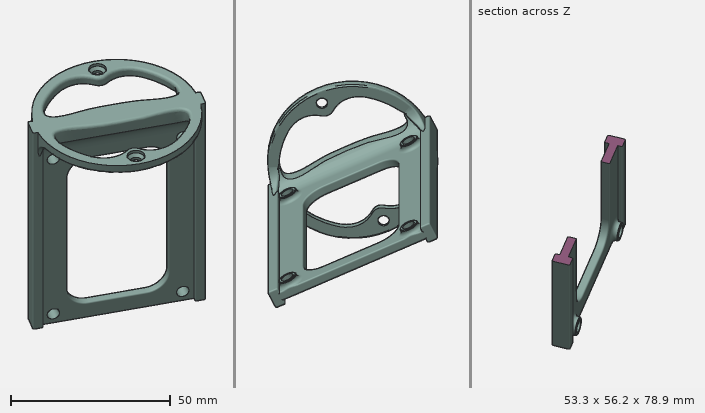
import cadquery as cq
import math

cap_radius = 53.26 / 2
cap_thickness = 3.0
cap_edge_round = 0.5

frame_height = 78.9
frame_width = 56.16
web_thickness = 3.0
rail_depth = 6.0
rail_width = 3.5
rail_round = 0.6
edge_round = 0.5

gusset_radius = 7.6
gusset_foot_z = -cap_thickness - gusset_radius

rail_flare_radius = 6.6
rail_flare_mid = (24.0, -5.6)
rail_flare_top_y = 21.9
rail_flare_foot_z = -cap_thickness - rail_flare_radius
rail_flare_reach = rail_depth / 2 + rail_flare_radius

window_width = 33.0
window_height = 58.0
window_corner_radius = 7.0
window_center_z = -44.05

boss_spacing_y = 42.0
boss_spacing_z = 62.0
boss_diameter = 6.0
boss_rim_diameter = 5.5
boss_hole_diameter = 4.0
boss_face_x = -3.6
boss_foot_radius = 1.4

screw_offset = 22.5
screw_hole_diameter = 3.5
countersink_diameter = 5.5
countersink_wall_depth = 1.0

opening_edge_round = 1.0
lug_tip = (17.87, 0)
bridge_middle = (4.9, 0)
opening_points = [
    lug_tip,
    (18.87, 2.4),
    (20.2, 5.2),
    (20.45, 8.3),
    (19.5, 11.6),
    (17.2, 14.9),
    (13.6, 18.3),
    (9.7, 20.8),
    (6.9, 21.6),
    (4.9, 21.3),
    (4.0, 20.0),
    (3.65, 18.2),
    (4.1, 12.0),
    bridge_middle,
]

margin = 5.0

pick_gap = 0.1

boss_centers = [
    (side * boss_spacing_y / 2, window_center_z + level * boss_spacing_z / 2)
    for side in (-1, 1)
    for level in (-1, 1)
]


def flared_section(half_width, flare_radius, bottom_z):
    """T-shaped XZ section: cap above, upright below, joined by concave quarter arcs."""
    foot_z = -cap_thickness - flare_radius
    reach = half_width + flare_radius
    arc_drop = flare_radius * math.sqrt(0.5)
    arc_mid_x = reach - arc_drop
    arc_mid_z = foot_z + arc_drop
    return (
        cq.Workplane("XZ")
        .moveTo(-cap_radius, 0)
        .lineTo(cap_radius, 0)
        .lineTo(cap_radius, -cap_thickness)
        .lineTo(reach, -cap_thickness)
        .threePointArc((arc_mid_x, arc_mid_z), (half_width, foot_z))
        .lineTo(half_width, bottom_z)
        .lineTo(-half_width, bottom_z)
        .lineTo(-half_width, foot_z)
        .threePointArc((-arc_mid_x, arc_mid_z), (-reach, -cap_thickness))
        .lineTo(-cap_radius, -cap_thickness)
        .close()
    )


def make_cap_and_web():
    """Web stock flaring into the cap through concave gussets, before trimming."""
    section = flared_section(web_thickness / 2, gusset_radius, -frame_height - margin)
    return section.extrude(frame_width / 2, both=True)


def make_rail_flares():
    """Concave flares from the rail faces to the cap, widening inwards as they rise."""
    foot_y = frame_width / 2 - rail_width + rail_round
    section = flared_section(rail_depth / 2, rail_flare_radius, rail_flare_foot_z - margin)
    flares = section.extrude(frame_width / 2, both=True)
    side_outline = (
        cq.Workplane("YZ")
        .moveTo(foot_y, rail_flare_foot_z)
        .threePointArc(rail_flare_mid, (rail_flare_top_y, -cap_thickness))
        .lineTo(rail_flare_top_y, 0)
        .lineTo(frame_width / 2, 0)
        .lineTo(frame_width / 2, rail_flare_foot_z)
        .close()
        .extrude(cap_radius, both=True)
    )
    return flares.intersect(side_outline.union(side_outline.mirror("XZ")))


def add_bosses(body):
    """Bosses on the -X face of the web, with filleted feet and chamfered rims."""
    rim_chamfer = (boss_diameter - boss_rim_diameter) / 2
    pins = (
        cq.Workplane("YZ", origin=(boss_face_x, 0, 0))
        .pushPoints(boss_centers)
        .circle(boss_diameter / 2)
        .extrude(-boss_face_x)
    )
    pins = pins.faces("<X").edges().chamfer(rim_chamfer)
    body = body.union(pins)
    half_foot = boss_diameter / 2 + pick_gap
    for y, z in boss_centers:
        foot = cq.selectors.BoxSelector(
            (boss_face_x + 2 * rim_chamfer, y - half_foot, z - half_foot),
            (0, y + half_foot, z + half_foot),
            boundingbox=True,
        )
        body = body.edges(foot).edges("not |X").fillet(boss_foot_radius)
    return body


def trim_to_cap_outline(body):
    """Trim to the cap circle and the frame height, then round the lower rim of the cap."""
    outline = cq.Workplane("XY").circle(cap_radius).extrude(-frame_height)
    body = body.intersect(outline)
    rim = cq.selectors.BoxSelector(
        (-rail_flare_reach - pick_gap, -frame_width, gusset_foot_z - pick_gap),
        (rail_flare_reach + pick_gap, frame_width, -cap_thickness + pick_gap),
        boundingbox=True,
    )
    return body.edges(rim).edges("not #Z").edges("not |Y").fillet(cap_edge_round)


def cut_cap_openings(body):
    """Two mirrored openings through cap and gussets, with rounded upper edges."""
    start_and_end_tangents = [(0, 1), (0, -1)]
    half = (
        cq.Workplane("XY")
        .spline(opening_points, tangents=start_and_end_tangents)
        .close()
        .extrude(gusset_foot_z)
    )
    opening = half.union(half.mirror("XZ"))
    body = body.cut(opening).cut(opening.mirror("YZ"))
    return body.faces(">Z").edges("not %CIRCLE").fillet(opening_edge_round)


def cut_screw_holes(body):
    """Countersunk screw holes, each with a short straight wall above its cone."""
    hole_radius = screw_hole_diameter / 2
    head_radius = countersink_diameter / 2
    cone_depth = head_radius - hole_radius
    profile = (
        cq.Workplane("XZ")
        .moveTo(0, 0)
        .lineTo(head_radius, 0)
        .lineTo(head_radius, -countersink_wall_depth)
        .lineTo(hole_radius, -countersink_wall_depth - cone_depth)
        .lineTo(hole_radius, -cap_thickness)
        .lineTo(0, -cap_thickness)
        .close()
    )
    hole = profile.revolve(360, (0, 0, 0), (0, 1, 0))
    for x in (-screw_offset, screw_offset):
        body = body.cut(hole.translate((x, 0, 0)))
    return body


def make_rail(side):
    """One side rail with rounded long edges and lower end; side is +1 or -1 along Y."""
    rail = (
        cq.Workplane("XY")
        .center(0, side * (frame_width - rail_width) / 2)
        .rect(rail_depth, rail_width)
        .extrude(-frame_height)
    )
    rail = rail.edges("|Z").fillet(rail_round)
    return rail.faces("<Z").edges().fillet(edge_round)


def cut_window(body):
    """Window through the web, rounded at its corners and along both faces."""
    window = (
        cq.Workplane("YZ", origin=(0, 0, window_center_z))
        .rect(window_width, window_height)
        .extrude(rail_depth, both=True)
        .edges("|X")
        .fillet(window_corner_radius)
    )
    half_width = window_width / 2 + pick_gap
    half_height = window_height / 2 + pick_gap
    rim = cq.selectors.BoxSelector(
        (-rail_depth, -half_width, window_center_z - half_height),
        (rail_depth, half_width, window_center_z + half_height),
        boundingbox=True,
    )
    return body.cut(window).edges(rim).edges("not |X").fillet(edge_round)


def cut_boss_holes(body):
    """Through holes along X on the boss axes."""
    holes = (
        cq.Workplane("YZ")
        .pushPoints(boss_centers)
        .circle(boss_hole_diameter / 2)
        .extrude(margin, both=True)
    )
    return body.cut(holes)


def round_web_bottom(body):
    """Round the two lower edges of the web, following the boss feet."""
    return body.faces("<Z").edges("not #Y").fillet(edge_round)


body = make_cap_and_web()
body = add_bosses(body)
body = trim_to_cap_outline(body)
flares = trim_to_cap_outline(make_rail_flares())
body = body.union(flares)
body = round_web_bottom(body)
body = cut_window(body)
body = cut_cap_openings(body)
body = cut_screw_holes(body)
for side in (-1, 1):
    body = body.union(make_rail(side))
result = cut_boss_holes(body)